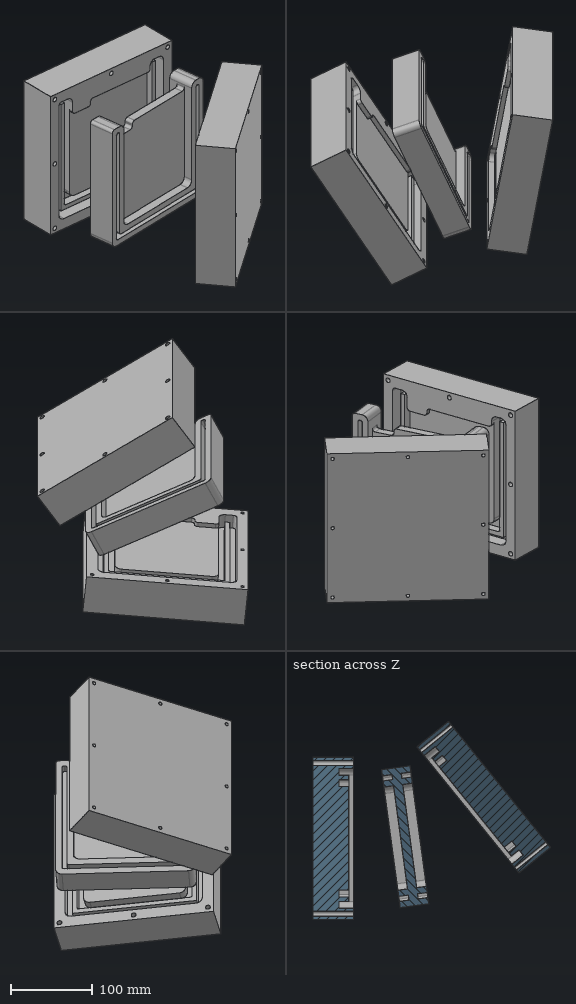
import cadquery as cq
import math


overall_x = 293.0
overall_y = 244.5

block_side = 200.0
block_depth = 50.0
hole_inset = 7.0
clearance_diameter = 6.0
thread_diameter = 4.0

casting_length = 172.0
casting_height = 170.3
frame_width = 22.0
frame_half_thickness = 18.0
web_half_thickness = 6.0
large_radius = 8.0
small_radius = 4.0

web_high_top = 155.0
web_low_top = 145.0
web_step_from_end = 52.0

groove_width = 6.0
groove_margin = (frame_width - groove_width) / 2
groove_radius = 2.5

casting_angle = 7.7
casting_x = 63.5
casting_y = 2.0
threaded_angle = 39.0

pick_reach = 0.15

half_length = casting_length / 2
bottom = -casting_height / 2
top = casting_height / 2


def extrude_both(outline, half_thickness):
    """Extrude a YZ outline by the same amount to each side of the parting plane."""
    return outline.close().extrude(half_thickness, both=True)


def round_at(body, radius, *points):
    """Round the through-thickness edges of a body that pass the given (y, z) points."""
    for y, z in points:
        corner = cq.selectors.BoxSelector(
            (-block_depth, y - pick_reach, z - pick_reach), (block_depth, y + pick_reach, z + pick_reach)
        )
        body = body.edges("|X").edges(corner).fillet(radius)
    return body


def make_u_shape(margin, band_width, half_thickness):
    """Sharp-cornered U, open at the top, set in from the casting outline by a margin."""
    outer_y = half_length - margin
    inner_y = outer_y - band_width
    low_z = bottom + margin
    high_z = top - margin
    outline = cq.Workplane("YZ").polyline([
        (-outer_y, low_z),
        (outer_y, low_z),
        (outer_y, high_z),
        (inner_y, high_z),
        (inner_y, low_z + band_width),
        (-inner_y, low_z + band_width),
        (-inner_y, high_z),
        (-outer_y, high_z),
    ])
    return extrude_both(outline, half_thickness)


def make_frame():
    """Thick U-shaped frame of the casting, with rounded corners."""
    inner_y = half_length - frame_width
    frame = make_u_shape(0, frame_width, frame_half_thickness)
    frame = round_at(
        frame, large_radius,
        (-half_length, bottom), (half_length, bottom),
        (-inner_y, bottom + frame_width), (inner_y, bottom + frame_width),
        (half_length, top), (inner_y, top), (-inner_y, top),
    )
    return round_at(frame, small_radius, (-half_length, top))


def clear_web(bar):
    """Remove the stretch of a bar that lies within the thickness of the web."""
    return bar.cut(cq.Workplane("XY").box(2 * web_half_thickness, block_side, block_side))


def make_groove():
    """U-shaped cutter for the groove in the frame, with all its corners rounded."""
    cutter = make_u_shape(groove_margin, groove_width, frame_half_thickness)
    return clear_web(cutter.edges("|X").fillet(groove_radius))


def make_ribs():
    """U-shaped ribs of the mould that form the groove, rounded only inside the U."""
    inner_y = half_length - groove_margin - groove_width
    inner_z = bottom + groove_margin + groove_width
    ribs = make_u_shape(groove_margin, groove_width, frame_half_thickness)
    return clear_web(round_at(ribs, groove_radius, (-inner_y, inner_z), (inner_y, inner_z)))


def make_web():
    """Thin web that fills the U, with a step in its upper edge."""
    inner_y = half_length - frame_width
    step_y = web_step_from_end - half_length
    high_z = bottom + web_high_top
    low_z = bottom + web_low_top
    floor_z = bottom + frame_width - large_radius
    outline = cq.Workplane("YZ").polyline([
        (-inner_y - large_radius, floor_z),
        (inner_y + large_radius, floor_z),
        (inner_y + large_radius, high_z),
        (step_y, high_z),
        (step_y, low_z),
        (-inner_y - large_radius, low_z),
    ])
    web = extrude_both(outline, web_half_thickness)
    return round_at(web, small_radius, (step_y, high_z), (step_y, low_z))


def make_blank():
    """Frame and web in one piece, before the groove is cut."""
    inner_y = half_length - frame_width
    blank = make_frame().union(make_web())
    return round_at(
        blank, small_radius,
        (inner_y, bottom + web_high_top), (-inner_y, bottom + web_low_top),
    )


def make_casting():
    """U-shaped frame and web, with a groove in both faces of the frame."""
    return make_blank().cut(make_groove())


def make_mould_half(side, hole_diameter):
    """Block on one side of the parting plane, with a ribbed cavity and eight through holes."""
    reach = block_side / 2 - hole_inset
    steps = (-reach, 0, reach)
    hole_points = [(y, z) for y in steps for z in steps if (y, z) != (0, 0)]
    holes = cq.Workplane("YZ").pushPoints(hole_points).circle(hole_diameter / 2)
    block = cq.Workplane("XY").box(block_depth, block_side, block_side)
    block = block.translate((side * block_depth / 2, 0, 0))
    cavity = make_blank().cut(make_ribs())
    return block.cut(holes.extrude(side * block_depth)).cut(cavity)


def place(body, angle, x, y):
    """Turn a body about the vertical axis, then move it to its opened-out place."""
    return body.rotate((0, 0, 0), (0, 0, 1), angle).translate((x, y, 0))


turn = math.radians(threaded_angle)
threaded_x = (
    overall_x - block_depth
    - block_depth * math.cos(turn) - block_side / 2 * math.sin(turn)
)
threaded_y = (
    overall_y - block_side / 2
    - block_depth * math.sin(turn) - block_side / 2 * math.cos(turn)
)

clearance_half = make_mould_half(-1, clearance_diameter)
threaded_half = place(
    make_mould_half(1, thread_diameter), threaded_angle, threaded_x, threaded_y
)
casting = place(make_casting(), casting_angle, casting_x, casting_y)

result = cq.Compound.makeCompound([clearance_half.val(), casting.val(), threaded_half.val()])